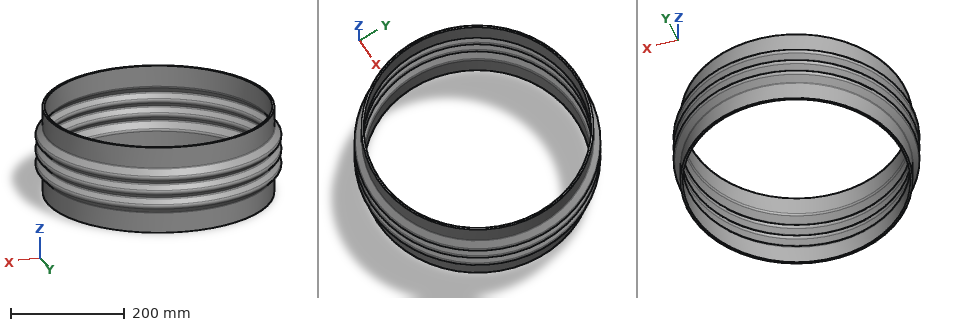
import cadquery as cq
import math

TOTAL_HEIGHT = 160.0
BORE_DIAMETER = 400.0
COLLAR_DIAMETER = 408.0
CREST_DIAMETER = 432.98
CREST_COUNT = 3
CREST_PITCH = 26.5
TIGHT_BEND_RADIUS = 2.0

WALL = (COLLAR_DIAMETER - BORE_DIAMETER) / 2
WIDE_BEND_RADIUS = TIGHT_BEND_RADIUS + WALL
MID_BEND_RADIUS = TIGHT_BEND_RADIUS + WALL / 2
COLLAR_MID_RADIUS = (COLLAR_DIAMETER + BORE_DIAMETER) / 4
FLANK_ANGLE = math.radians(45)
FLANK_SLOPE = math.tan(FLANK_ANGLE)

BEND_OFFSET = 2 * MID_BEND_RADIUS
CREST_CENTRE_RADIUS = CREST_DIAMETER / 2 - WIDE_BEND_RADIUS
VALLEY_CENTRE_RADIUS = (
    CREST_CENTRE_RADIUS + BEND_OFFSET / math.cos(FLANK_ANGLE) - FLANK_SLOPE * CREST_PITCH / 2
)
COLLAR_BEND_CENTRE_RADIUS = COLLAR_MID_RADIUS + MID_BEND_RADIUS
COLLAR_BEND_RISE = (
    BEND_OFFSET / math.cos(FLANK_ANGLE) + CREST_CENTRE_RADIUS - COLLAR_BEND_CENTRE_RADIUS
) / FLANK_SLOPE

MID_HEIGHT = TOTAL_HEIGHT / 2
FIRST_CREST_HEIGHT = MID_HEIGHT - CREST_PITCH * (CREST_COUNT - 1) / 2
LAST_CREST_HEIGHT = MID_HEIGHT + CREST_PITCH * (CREST_COUNT - 1) / 2


def arc_points(centre_radius, centre_height, bend_radius, start_angle, end_angle):
    """Start, middle and end of an arc; angles are measured from the outward direction."""
    angles = (start_angle, (start_angle + end_angle) / 2, end_angle)
    return [
        (centre_radius + bend_radius * math.cos(a), centre_height + bend_radius * math.sin(a))
        for a in angles
    ]


def wall_bends(crest_bend_radius, valley_bend_radius):
    """Bends of one wall surface from bottom to top, each as three arc points."""
    inward = math.pi
    bends = [
        arc_points(
            COLLAR_BEND_CENTRE_RADIUS,
            FIRST_CREST_HEIGHT - COLLAR_BEND_RISE,
            valley_bend_radius,
            inward,
            inward - FLANK_ANGLE,
        )
    ]
    for index in range(CREST_COUNT):
        crest_height = FIRST_CREST_HEIGHT + index * CREST_PITCH
        bends.append(
            arc_points(CREST_CENTRE_RADIUS, crest_height, crest_bend_radius, -FLANK_ANGLE, FLANK_ANGLE)
        )
        if index < CREST_COUNT - 1:
            bends.append(
                arc_points(
                    VALLEY_CENTRE_RADIUS,
                    crest_height + CREST_PITCH / 2,
                    valley_bend_radius,
                    inward + FLANK_ANGLE,
                    inward - FLANK_ANGLE,
                )
            )
    bends.append(
        arc_points(
            COLLAR_BEND_CENTRE_RADIUS,
            LAST_CREST_HEIGHT + COLLAR_BEND_RISE,
            valley_bend_radius,
            inward + FLANK_ANGLE,
            inward,
        )
    )
    return bends


def draw_bends(profile, bends):
    """Add a run of bends to the profile, joined by straight flanks."""
    for start, middle, end in bends:
        profile = profile.lineTo(*start).threePointArc(middle, end)
    return profile


def sleeve():
    """Corrugated wall revolved about Z, standing on the XY plane."""
    outer_bends = wall_bends(WIDE_BEND_RADIUS, TIGHT_BEND_RADIUS)
    inner_bends = wall_bends(TIGHT_BEND_RADIUS, WIDE_BEND_RADIUS)
    inner_bends_downward = [bend[::-1] for bend in reversed(inner_bends)]

    profile = cq.Workplane("XZ").moveTo(COLLAR_DIAMETER / 2, 0)
    profile = draw_bends(profile, outer_bends)
    profile = profile.lineTo(COLLAR_DIAMETER / 2, TOTAL_HEIGHT)
    profile = profile.lineTo(BORE_DIAMETER / 2, TOTAL_HEIGHT)
    profile = draw_bends(profile, inner_bends_downward)
    profile = profile.lineTo(BORE_DIAMETER / 2, 0).close()
    return profile.revolve(360, (0, 0, 0), (0, 1, 0))


result = sleeve()